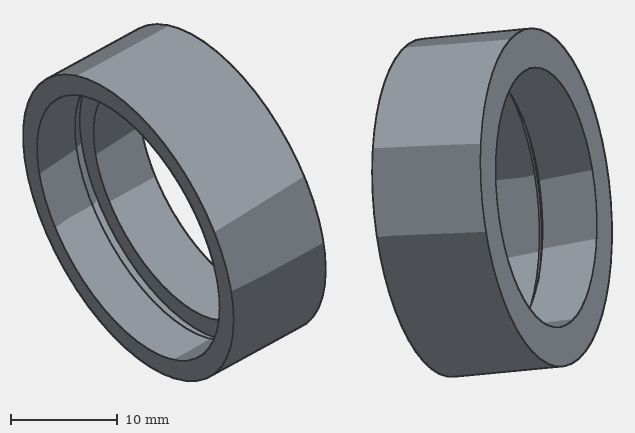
import cadquery as cq

outer_diameter = 31.75
width = 11.0
bore_diameter = 24.38
seat_diameter = 27.5
seat_depth = width / 2

groove_diameter = 28.5
groove_width = 1.0


def cylinder(diameter, start, end):
    """Solid cylinder between two distances behind the front face."""
    front_face = cq.Workplane("XZ", origin=(0, start - width / 2, 0))
    return front_face.circle(diameter / 2).extrude(start - end)


body = cylinder(outer_diameter, 0, width)
bore = cylinder(bore_diameter, 0, width)
seat = cylinder(seat_diameter, 0, seat_depth)
groove = cylinder(groove_diameter, seat_depth - groove_width, seat_depth)

result = body.cut(bore).cut(seat).cut(groove)